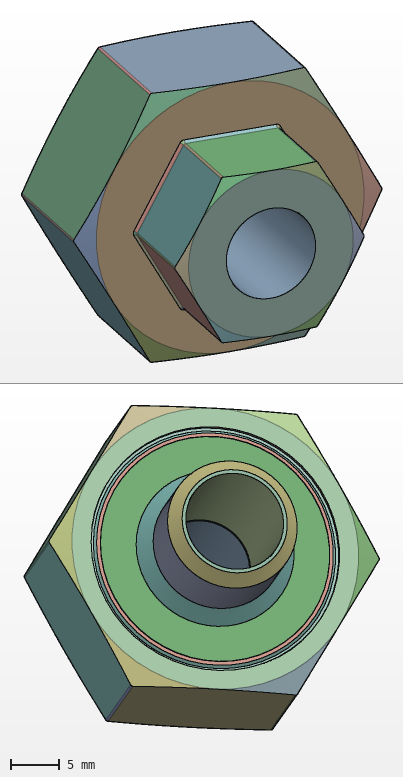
import cadquery as cq
import math

LENGTH = 35.5
BORE_RADIUS = 5.0
WELD_BORE_RADIUS = 5.1

TUBE_RADIUS = 6.78
TIP_CHAMFER = 1.28
CONE_START = 9.0
CONE_BASE_RADIUS = 8.27
FLANGE_FACE = CONE_START + CONE_BASE_RADIUS - TUBE_RADIUS

NUT_START = 10.45
NUT_END = 25.03
NUT_MIDDLE = (NUT_START + NUT_END) / 2
NUT_FLATS = 30.0

RECESS_RADIUS = 13.0
RIM_RADIUS = 12.67
RIM_BEVEL = 0.3
FLANGE_STEP_RADIUS = 12.0
FLANGE_STEP = 0.1

END_HEX_FLATS = 18.45
END_HEX_FILLET = 0.5
FILLET_TOP = 25.45

CORNER_ROUNDING = 0.3
HEX_BEVEL_ANGLE = math.radians(15)


def revolve_about_x(points):
    """Revolve a closed (x, radius) outline about the pipe axis."""
    return cq.Workplane("XY").polyline(points).close().revolve(360, (0, 0, 0), (1, 0, 0))


def corner_radius(flats):
    """Distance from the axis to the sharp corners of a hexagon."""
    return flats / 2 / math.cos(math.pi / 6)


def hex_prism(start, end, flats):
    """Hexagon along X with flats facing +Z and -Z and slightly rounded corners."""
    section = cq.Workplane("YZ", origin=(start, 0, 0)).polygon(6, 2 * corner_radius(flats))
    return section.extrude(end - start).edges("|X").fillet(CORNER_ROUNDING)


def bevel_envelope(start, end, flats, bevel_start=False):
    """Turned solid that bevels hexagon corners at the end face, and optionally the start face."""
    inner = flats / 2
    outer = corner_radius(flats)
    bevel = (outer - inner) * math.tan(HEX_BEVEL_ANGLE)
    if bevel_start:
        start_points = [(start, inner), (start + bevel, outer)]
    else:
        start_points = [(start, outer)]
    return revolve_about_x([(start, 0), *start_points, (end - bevel, outer), (end, inner), (end, 0)])


def make_weld_end():
    return revolve_about_x([
        (0, 0),
        (0, TUBE_RADIUS - TIP_CHAMFER),
        (TIP_CHAMFER, TUBE_RADIUS),
        (CONE_START, TUBE_RADIUS),
        (FLANGE_FACE, CONE_BASE_RADIUS),
        (FLANGE_FACE, 0),
    ])


def make_nut():
    nut = hex_prism(NUT_START, NUT_END, NUT_FLATS)
    nut = nut.intersect(bevel_envelope(NUT_START, NUT_END, NUT_FLATS, bevel_start=True))
    ledge = FLANGE_FACE + FLANGE_STEP
    recess_floor = ledge + RIM_BEVEL
    recess = revolve_about_x([
        (NUT_START, 0),
        (NUT_START, RECESS_RADIUS),
        (recess_floor, RECESS_RADIUS),
        (recess_floor, RIM_RADIUS),
        (ledge, RIM_RADIUS - RIM_BEVEL),
        (ledge, FLANGE_STEP_RADIUS),
        (FLANGE_FACE, FLANGE_STEP_RADIUS),
        (FLANGE_FACE, 0),
    ])
    return nut.cut(recess)


def make_female_end():
    """Hexagon with a fillet at its root, standing on a round shoulder buried in the nut."""
    shoulder_face = FILLET_TOP - END_HEX_FILLET
    shoulder = cq.Workplane("YZ", origin=(NUT_MIDDLE, 0, 0)).circle(RIM_RADIUS)
    shoulder = shoulder.extrude(shoulder_face - NUT_MIDDLE)
    hexagon = hex_prism(shoulder_face, LENGTH, END_HEX_FLATS)
    hexagon = hexagon.intersect(bevel_envelope(shoulder_face, LENGTH, END_HEX_FLATS))
    reach = corner_radius(END_HEX_FLATS)
    margin = END_HEX_FILLET / 2
    root_edges = cq.selectors.BoxSelector(
        (shoulder_face - margin, -reach, -reach),
        (shoulder_face + margin, reach, reach),
        boundingbox=True,
    )
    return shoulder.union(hexagon).edges(root_edges).fillet(END_HEX_FILLET)


def make_bore():
    full_bore = cq.Workplane("YZ").circle(BORE_RADIUS).extrude(LENGTH)
    weld_bore = cq.Workplane("YZ").circle(WELD_BORE_RADIUS).extrude(NUT_MIDDLE)
    return full_bore.union(weld_bore)


result = make_weld_end().union(make_nut()).union(make_female_end()).cut(make_bore())